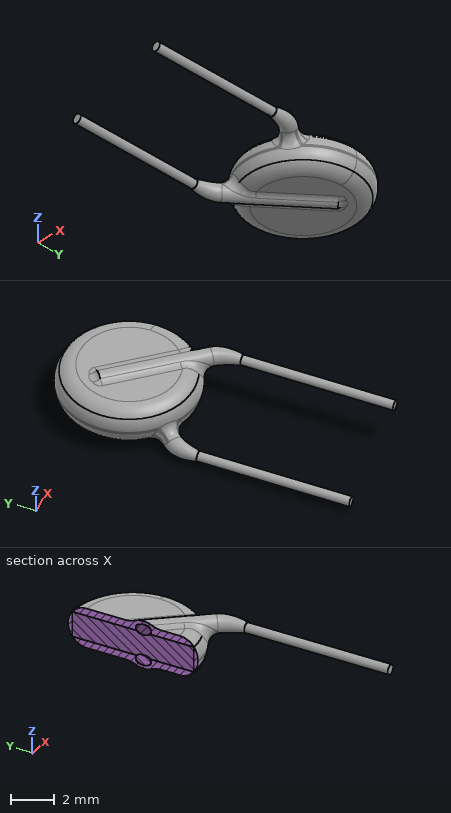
import cadquery as cq
import math

OVERALL_LENGTH = 15.59
OVERALL_HEIGHT = 2.53

COATING_DIAMETER = 6.89
COATING_HEIGHT = 2.1
RIM_RADIUS = 1.0

DISC_DIAMETER = 6.4
DISC_HEIGHT = 1.28

WIRE_DIAMETER = 0.51
LEAD_ANGLES = (0, 180)
LEAD_X = 2.54
SLANT_ANGLE = 40
SLANT_LENGTH = 5.36
BEND_START_X = 2.17
BEND_START_Y = -3.13
BEND_END_Y = -4.55
BEND_SECTIONS = 4

SLEEVE_DIAMETER = 0.92
SLEEVE_TIP_DIAMETER = 0.55
SLEEVE_FILLET = 0.6

TOLERANCE = 0.002

TOP_Z = COATING_HEIGHT / 2
LEAD_Z = (OVERALL_HEIGHT - SLEEVE_DIAMETER) / 2
LEAD_END_Y = COATING_DIAMETER / 2 - OVERALL_LENGTH
LEAD_DIRECTION = cq.Vector(0, -1, 0)
SLANT = cq.Vector(-math.sin(math.radians(SLANT_ANGLE)), math.cos(math.radians(SLANT_ANGLE)), 0)
BEND_START = cq.Vector(BEND_START_X, BEND_START_Y, LEAD_Z)
BEND_END = cq.Vector(LEAD_X, BEND_END_Y, LEAD_Z)
LEAD_START = BEND_START + SLANT * SLANT_LENGTH

SLEEVE_RADIUS = SLEEVE_DIAMETER / 2
BLEND_RISE = (TOP_Z + SLEEVE_FILLET - LEAD_Z) * SLEEVE_RADIUS / (SLEEVE_RADIUS + SLEEVE_FILLET)
CREST_HALF_WIDTH = math.sqrt(SLEEVE_RADIUS**2 - BLEND_RISE**2)


def turned(shape, angle):
    """The shape turned about the Y axis."""
    return shape.rotate((0, 0, 0), (0, 1, 0), angle)


def slanted_cylinder(diameter):
    return cq.Solid.makeCylinder(diameter / 2, SLANT_LENGTH, BEND_START, SLANT)


def bend(start_diameter, end_diameter):
    """Round bar along the bend whose diameter leaves its start value gradually, as a parabola."""
    path = cq.Edge.makeSpline([BEND_START, BEND_END], tangents=[-SLANT, LEAD_DIRECTION])
    sections = []
    for step in range(BEND_SECTIONS + 1):
        along = step / BEND_SECTIONS
        diameter = start_diameter + (end_diameter - start_diameter) * along**2
        sections.append(cq.Wire.makeCircle(diameter / 2, path.positionAt(along), path.tangentAt(along)))
    return cq.Solid.sweep_multi(sections, cq.Wire.assembleEdges([path]))


def make_lead():
    """Upper lead: the bare wire, slanted, bent and straight."""
    straight = cq.Solid.makeCylinder(WIRE_DIAMETER / 2, BEND_END_Y - LEAD_END_Y, BEND_END, LEAD_DIRECTION)
    return slanted_cylinder(WIRE_DIAMETER).fuse(bend(WIRE_DIAMETER, WIRE_DIAMETER), straight)


def blend_profile(offset):
    """Face under the concave blend ahead of the sleeve's end, offset sideways from its middle."""
    plane = cq.Plane(origin=LEAD_START, xDir=SLANT, normal=SLANT.cross(cq.Vector(0, 0, 1)))
    foot_z = TOP_Z - LEAD_Z
    crest_z = math.sqrt(SLEEVE_RADIUS**2 - offset**2)
    centre_z = foot_z + SLEEVE_FILLET
    reach = math.sqrt(SLEEVE_FILLET**2 - (centre_z - crest_z) ** 2)
    half_angle = math.asin(reach / SLEEVE_FILLET) / 2
    middle = (reach - SLEEVE_FILLET * math.sin(half_angle), centre_z - SLEEVE_FILLET * math.cos(half_angle))
    return (
        cq.Workplane(plane)
        .workplane(offset=offset)
        .moveTo(0, foot_z)
        .lineTo(0, crest_z)
        .threePointArc(middle, (reach, foot_z))
        .close()
    )


def add_end_blend(body):
    """Blend from the end of the upper sleeve down to the coating's flat top."""
    offsets = [-CREST_HALF_WIDTH, 0, CREST_HALF_WIDTH]
    wires = [blend_profile(offset).wire().val() for offset in offsets]
    blends = [cq.Solid.makeLoft(wires)]
    for side in (-1, 1):
        profile = blend_profile(side * CREST_HALF_WIDTH)
        blends.append(profile.revolve(90, (0, 0, 0), (0, -side, 0)).val())
    return body.fuse(*blends)


def is_sleeve_joint(edge):
    """True for the edges where the sides of the upper sleeve meet the coating."""
    centre = edge.Center()
    on_rim = edge.geomType() == "BSPLINE" and centre.z > 0 and centre.y > BEND_START_Y
    on_flat = edge.geomType() == "LINE" and abs(centre.z - TOP_Z) < TOLERANCE
    return on_rim or on_flat and edge.Length() > SLEEVE_DIAMETER


def add_upper_sleeve(body):
    """The body with the upper lead's sleeve blended into it."""
    sleeve = slanted_cylinder(SLEEVE_DIAMETER).fuse(bend(SLEEVE_DIAMETER, SLEEVE_TIP_DIAMETER))
    body = body.fuse(sleeve)
    body = body.fillet(SLEEVE_FILLET, [edge for edge in body.Edges() if is_sleeve_joint(edge)])
    return add_end_blend(body)


def make_coating_outside():
    """Coating before the disc and leads are taken out of it."""
    round_body = cq.Workplane("XY").circle(COATING_DIAMETER / 2).extrude(TOP_Z, both=True)
    body = round_body.edges().fillet(RIM_RADIUS).val()
    for angle in LEAD_ANGLES:
        body = turned(add_upper_sleeve(turned(body, -angle)), angle)
    return body


leads = [turned(make_lead(), angle) for angle in LEAD_ANGLES]
whole_disc = cq.Workplane("XY").circle(DISC_DIAMETER / 2).extrude(DISC_HEIGHT / 2, both=True).val()
coating = make_coating_outside().cut(whole_disc, *leads)
disc = whole_disc.cut(*leads)

result = cq.Compound.makeCompound(
    [solid for body in (coating, disc, *leads) for solid in body.Solids()]
)